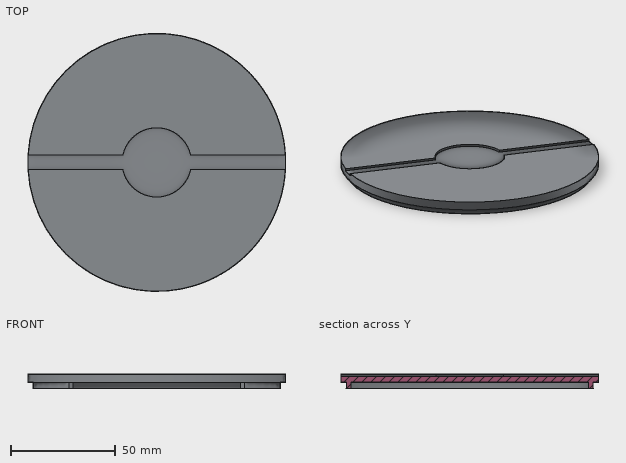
import cadquery as cq
import math

plate_diameter = 124.0
plate_thickness = 4.0

rim_outer_radius = 59.5
rim_wall = 2.5
rim_height = 3.0
rim_opening_angle = 90.0

recess_depth = 1.0
recess_diameter = 33.3
groove_width = 7.0


def make_plate():
    """Round plate with its underside at Z = 0."""
    return cq.Workplane("XY").circle(plate_diameter / 2).extrude(plate_thickness)


def make_rim():
    """Ring hanging below the plate, with a sector removed about the -Y axis."""
    ring = (
        cq.Workplane("XY")
        .circle(rim_outer_radius)
        .circle(rim_outer_radius - rim_wall)
        .extrude(-rim_height)
    )
    sector_depth = plate_diameter
    sector_half_width = sector_depth * math.tan(math.radians(rim_opening_angle / 2))
    sector = (
        cq.Workplane("XY")
        .moveTo(0, 0)
        .lineTo(-sector_half_width, -sector_depth)
        .lineTo(sector_half_width, -sector_depth)
        .close()
        .extrude(-rim_height)
    )
    return ring.cut(sector)


def make_top_recess():
    """Central round pocket joined with a straight groove along X."""
    recess_floor = cq.Workplane("XY").workplane(offset=plate_thickness - recess_depth)
    pocket = recess_floor.circle(recess_diameter / 2).extrude(recess_depth)
    groove = recess_floor.rect(plate_diameter, groove_width).extrude(recess_depth)
    return pocket.union(groove)


result = make_plate().union(make_rim()).cut(make_top_recess())